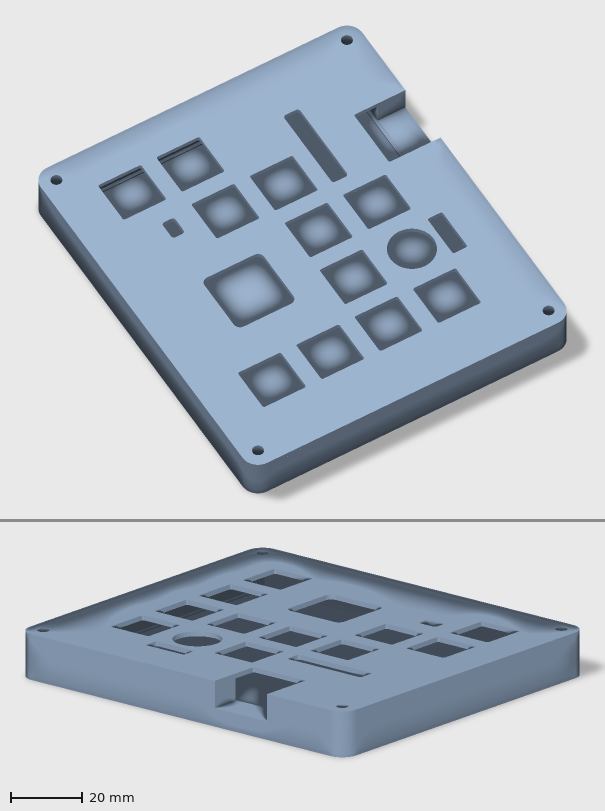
import cadquery as cq
LENGTH = 120.0
WIDTH = 105.0
CORNER_RADIUS = 5.0

CASE_HEIGHT = 12.0
GASKET_THICKNESS = 1.0
FLANGE_THICKNESS = 0.5
COVER_THICKNESS = GASKET_THICKNESS + FLANGE_THICKNESS

WALL = 9.0
CAVITY_LENGTH = LENGTH - 2 * WALL
CAVITY_WIDTH = WIDTH - 2 * WALL
LEDGE_HEIGHT = 5.3
LEDGE_WIDTH = 1.0
FLOOR_THICKNESS = 4.8

SCREW_DIAMETER = 3.4
SCREW_X = LENGTH / 2 - CORNER_RADIUS
SCREW_Y = WIDTH / 2 - CORNER_RADIUS

NOTCH_WIDTH = 19.2
NOTCH_X = -22.0
NOTCH_SILL = 5.4
COVER_NOTCH_DEPTH = 16.8

KEY_SIZE = 14.0
KEY_GRID_LENGTH = 76.2
KEY_PITCH = KEY_GRID_LENGTH / 4
FIRST_KEY_X = -40.3
FIRST_KEY_Y = 25.7
KEY_COLUMNS_BY_ROW = [(2, 4), (1, 2, 3, 4), (0, 1, 4), (0, 4)]
ROUND_OPENING_COLUMN = 3
ROUND_OPENING_ROW = 0
SMALL_RADIUS = 0.6

COVER_WINDOWS = [
    (17.2, 37.1, 14.0, 4.8, SMALL_RADIUS),
    (-27.8, 21.0, 27.1, 5.2, 1.0),
    (-23.8, -28.0, 6.1, 4.1, 1.0),
    (5.9, -21.0, 19.9, 19.5, 2.0),
]


def rounded_block(length, width, height, radius):
    """Block standing on z = 0, centred on the origin, with rounded vertical edges."""
    block = cq.Workplane("XY").box(length, width, height, centered=(True, True, False))
    return block.edges("|Z").fillet(radius)


def block_at(height, length, width, thickness):
    """Square-cornered block centred on the Z axis, standing on the given height."""
    return cq.Workplane("XY", origin=(0, 0, height)).rect(length, width).extrude(thickness)


def screw_holes(height):
    """Cutters for the four corner screw holes."""
    centres = [(x, y) for x in (-SCREW_X, SCREW_X) for y in (-SCREW_Y, SCREW_Y)]
    return cq.Workplane("XY").pushPoints(centres).circle(SCREW_DIAMETER / 2).extrude(height)


def key_centre(column, row):
    return (FIRST_KEY_X + column * KEY_PITCH, FIRST_KEY_Y - row * KEY_PITCH)


def window(x, y, length, width, radius):
    """Cutter for a rounded rectangular opening in the cover."""
    return rounded_block(length, width, COVER_THICKNESS, radius).translate((x, y, 0))


def wall_notch(bottom, top):
    """Cutter for the notch through the back wall between two heights."""
    notch = cq.Workplane("XY", origin=(NOTCH_X, (WIDTH - WALL) / 2, bottom))
    return notch.rect(NOTCH_WIDTH, WALL).extrude(top - bottom)


def make_case():
    case = rounded_block(LENGTH, WIDTH, CASE_HEIGHT, CORNER_RADIUS)
    case = case.cut(block_at(LEDGE_HEIGHT, CAVITY_LENGTH, CAVITY_WIDTH, CASE_HEIGHT - LEDGE_HEIGHT))
    well_length = CAVITY_LENGTH - 2 * LEDGE_WIDTH
    well_width = CAVITY_WIDTH - 2 * LEDGE_WIDTH
    well_depth = LEDGE_HEIGHT - FLOOR_THICKNESS
    case = case.cut(block_at(FLOOR_THICKNESS, well_length, well_width, well_depth))
    case = case.cut(wall_notch(NOTCH_SILL, CASE_HEIGHT))
    return case.cut(screw_holes(CASE_HEIGHT))


def make_gasket():
    gasket = rounded_block(LENGTH, WIDTH, GASKET_THICKNESS, CORNER_RADIUS)
    gasket = gasket.cut(block_at(0, CAVITY_LENGTH, CAVITY_WIDTH, GASKET_THICKNESS))
    gasket = gasket.cut(wall_notch(0, GASKET_THICKNESS)).cut(screw_holes(GASKET_THICKNESS))
    return gasket.translate((0, 0, CASE_HEIGHT))


def cover_notch():
    """Cutter for the cover's notch: open at the back edge, rounded at its inner corners."""
    notch = cq.Workplane("XY", origin=(NOTCH_X, (WIDTH - COVER_NOTCH_DEPTH) / 2, 0))
    notch = notch.rect(NOTCH_WIDTH, COVER_NOTCH_DEPTH).extrude(COVER_THICKNESS)
    return notch.edges("|Z and <Y").fillet(SMALL_RADIUS)


def make_cover():
    cover = rounded_block(LENGTH, WIDTH, FLANGE_THICKNESS, CORNER_RADIUS)
    cover = cover.translate((0, 0, GASKET_THICKNESS))
    cover = cover.union(block_at(0, CAVITY_LENGTH, CAVITY_WIDTH, GASKET_THICKNESS))
    cover = cover.cut(screw_holes(COVER_THICKNESS)).cut(cover_notch())
    for row, columns in enumerate(KEY_COLUMNS_BY_ROW):
        for column in columns:
            cover = cover.cut(window(*key_centre(column, row), KEY_SIZE, KEY_SIZE, SMALL_RADIUS))
    round_centre = key_centre(ROUND_OPENING_COLUMN, ROUND_OPENING_ROW)
    round_opening = cq.Workplane("XY").center(*round_centre).circle(KEY_SIZE / 2)
    cover = cover.cut(round_opening.extrude(COVER_THICKNESS))
    for x, y, length, width, radius in COVER_WINDOWS:
        cover = cover.cut(window(x, y, length, width, radius))
    return cover.translate((0, 0, CASE_HEIGHT))


case = make_case()
gasket = make_gasket()
cover = make_cover()

result = cq.Compound.makeCompound([case.val(), gasket.val(), cover.val()])